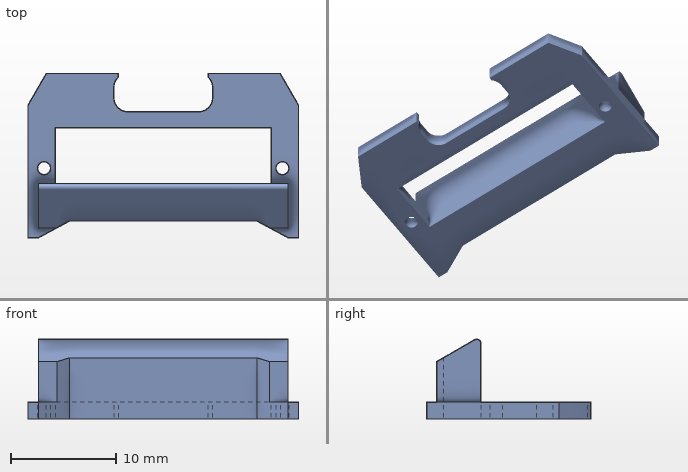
import cadquery as cq
import math

length = 25.7
depth = 15.6
plate_thickness = 1.62
rear_chamfer_x = 1.75
rear_chamfer_y = rear_chamfer_x * math.tan(math.radians(60))

lug_width = 1.0
recess_side_inset = 3.95
recess_depth = 1.6

total_height = 7.58
wall_length = length - 2 * lug_width
wall_front = 0.95
wall_back = 5.17
slope_angle = math.radians(30)
crest_radius = 0.4

window_side_inset = 2.62
window_back = depth - 5.17

notch_width = 9.35
notch_depth = 3.62
notch_corner_radius = 1.3
mouth_width = 8.5

hole_diameter = 1.2
hole_side_inset = 1.55
hole_y = 6.6


def make_plate():
    half = length / 2
    outline = [
        (-half, 0),
        (half, 0),
        (half, depth - rear_chamfer_y),
        (half - rear_chamfer_x, depth),
        (rear_chamfer_x - half, depth),
        (-half, depth - rear_chamfer_y),
    ]
    return cq.Workplane("XY").polyline(outline).close().extrude(plate_thickness)


def make_wall():
    center_y = wall_back - crest_radius
    center_z = total_height - crest_radius
    slope_top_y = center_y - crest_radius * math.sin(slope_angle)
    slope_top_z = center_z + crest_radius * math.cos(slope_angle)
    slope_bottom_z = slope_top_z - (slope_top_y - wall_front) * math.tan(slope_angle)
    crest_middle_angle = (math.pi / 2 + slope_angle) / 2
    crest_middle_y = center_y + crest_radius * math.cos(crest_middle_angle)
    crest_middle_z = center_z + crest_radius * math.sin(crest_middle_angle)
    return (
        cq.Workplane("YZ")
        .moveTo(wall_front, 0)
        .lineTo(wall_back, 0)
        .lineTo(wall_back, center_z)
        .threePointArc((crest_middle_y, crest_middle_z), (slope_top_y, slope_top_z))
        .lineTo(wall_front, slope_bottom_z)
        .close()
        .extrude(wall_length / 2, both=True)
    )


def make_front_recess():
    outer = length / 2 - lug_width
    inner = length / 2 - recess_side_inset
    outline = [(-outer, 0), (outer, 0), (inner, recess_depth), (-inner, recess_depth)]
    return cq.Workplane("XY").polyline(outline).close().extrude(total_height)


def make_window():
    window_length = length - 2 * window_side_inset
    return (
        cq.Workplane("XY")
        .center(0, (wall_back + window_back) / 2)
        .rect(window_length, window_back - wall_back)
        .extrude(plate_thickness)
    )


def make_notch():
    pocket = (
        cq.Workplane("XY")
        .center(0, depth - notch_depth / 2)
        .rect(notch_width, notch_depth)
        .extrude(plate_thickness)
        .edges("|Z")
        .fillet(notch_corner_radius)
    )
    mouth = (
        cq.Workplane("XY")
        .center(0, depth - notch_corner_radius / 2)
        .rect(mouth_width, notch_corner_radius)
        .extrude(plate_thickness)
    )
    return pocket.union(mouth)


def make_pin_holes():
    hole_x = length / 2 - hole_side_inset
    return (
        cq.Workplane("XY")
        .pushPoints([(-hole_x, hole_y), (hole_x, hole_y)])
        .circle(hole_diameter / 2)
        .extrude(plate_thickness)
    )


result = make_plate().union(make_wall())
for cutter in (make_front_recess(), make_window(), make_notch(), make_pin_holes()):
    result = result.cut(cutter)